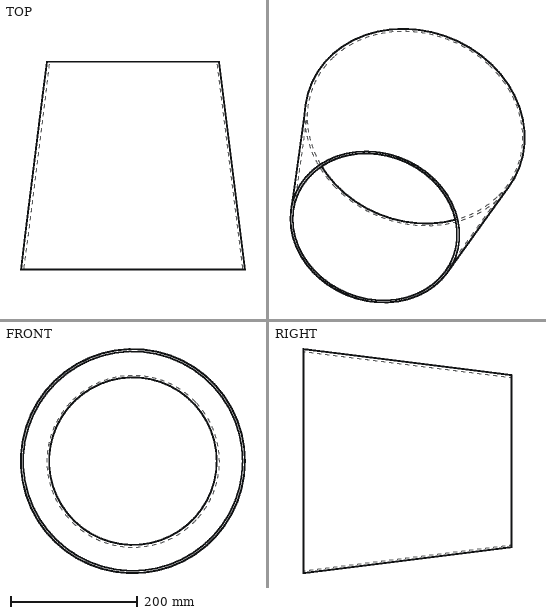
import cadquery as cq

wide_diameter = 355.5
narrow_diameter = 273.0
length = 330.0
wall = 4.0

wide_radius = wide_diameter / 2
narrow_radius = narrow_diameter / 2

wall_section = (
    cq.Workplane("XY")
    .moveTo(wide_radius - wall, 0)
    .lineTo(wide_radius, 0)
    .lineTo(narrow_radius, length)
    .lineTo(narrow_radius - wall, length)
    .close()
)

result = wall_section.revolve(360, (0, 0, 0), (0, 1, 0))